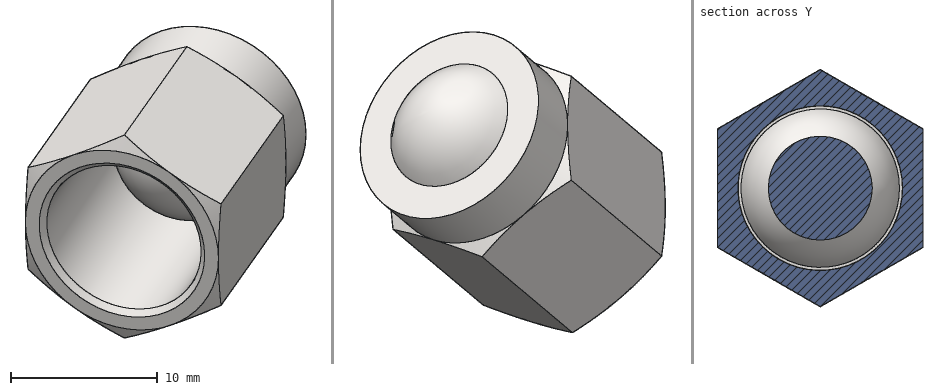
import cadquery as cq
import math

total_length = 19.8
hex_length = 13.4
collar_length = 4.0
across_flats = 14.0
collar_diameter = across_flats
bore_diameter = 11.19
bore_mouth_diameter = 12.0
bore_depth = 12.73
ball_diameter = bore_diameter
hex_chamfer_angle = 25.0
corner_clearance = 0.2

across_corners = across_flats / math.cos(math.radians(30))
ball_center = total_length - ball_diameter / 2


def revolve_about_y(profile):
    return profile.close().revolve(360, (0, 0, 0), (0, 1, 0))


def hex_body():
    """Hexagon with corners on Z, both ends trimmed by shallow cones."""
    prism = (
        cq.Workplane("XZ")
        .polygon(6, across_corners)
        .extrude(-hex_length)
        .rotate((0, 0, 0), (0, 1, 0), 90)
    )
    flat_radius = across_flats / 2
    corner_radius = across_corners / 2
    reach = corner_radius + corner_clearance
    drop = (reach - flat_radius) * math.tan(math.radians(hex_chamfer_angle))
    envelope = revolve_about_y(
        cq.Workplane("XY")
        .moveTo(0, 0)
        .lineTo(flat_radius, 0)
        .lineTo(reach, drop)
        .lineTo(reach, hex_length - drop)
        .lineTo(flat_radius, hex_length)
        .lineTo(0, hex_length)
    )
    return prism.intersect(envelope)


def collar():
    return (
        cq.Workplane("XZ", origin=(0, hex_length, 0))
        .circle(collar_diameter / 2)
        .extrude(-collar_length)
    )


def bore():
    """Blind bore with a 45 degree lead-in at the mouth."""
    bore_radius = bore_diameter / 2
    mouth_radius = bore_mouth_diameter / 2
    lead_in = mouth_radius - bore_radius
    return revolve_about_y(
        cq.Workplane("XY")
        .moveTo(0, 0)
        .lineTo(mouth_radius, 0)
        .lineTo(bore_radius, lead_in)
        .lineTo(bore_radius, bore_depth)
        .lineTo(0, bore_depth)
    )


def ball():
    """Ball set in the closed end, standing proud of the collar and of the bore floor."""
    radius = ball_diameter / 2
    return revolve_about_y(
        cq.Workplane("XY")
        .moveTo(0, ball_center - radius)
        .threePointArc((radius, ball_center), (0, total_length))
    )


result = hex_body().union(collar()).cut(bore()).union(ball())